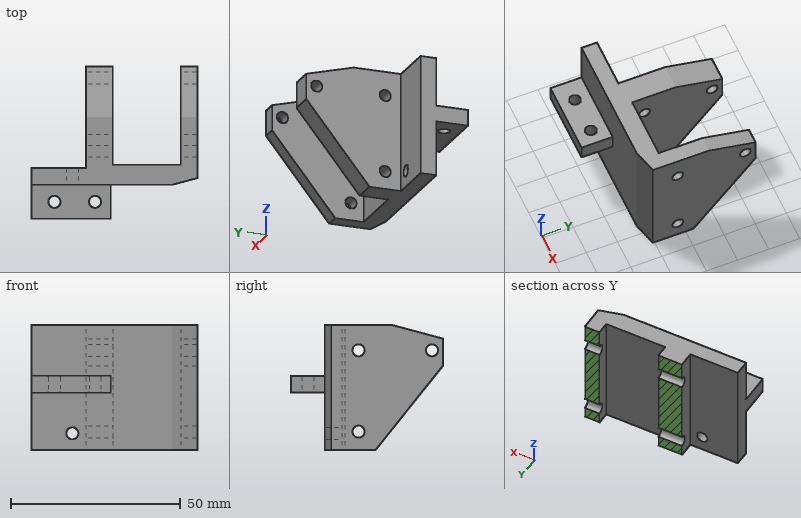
import cadquery as cq
import math

height = 37.0
plate_thickness = 5.0
web_thickness = 6.0

inner_arm_width = 8.0
outer_arm_width = 5.0
arm_gap = 20.0
inner_arm_x = 16.1
outer_arm_x = inner_arm_x + inner_arm_width + arm_gap
plate_width = outer_arm_x + outer_arm_width
arm_reach = 35.0
arm_bottom_reach = 15.0
arm_nose_bottom_z = 25.0
bevel_angle = math.radians(15)
arm_bevel_length = 15.0
arm_bevel_drop = arm_bevel_length * math.tan(bevel_angle)

edge_bevel_width = 7.5
edge_bevel_depth = edge_bevel_width * math.tan(bevel_angle)

tab_width = 23.5
tab_reach = 10.0
tab_thickness = 5.0
tab_bottom_z = 17.0

hole_diameter = 3.5
tab_hole_xs = (6.8, 18.8)
tab_hole_y = -tab_reach / 2
plate_hole_x = 12.1
plate_hole_z = 5.0
arm_hole_y = 10.0
upper_hole_z = 29.5
lower_hole_z = 5.5
nose_hole_y = 31.7
arm_holes = (
    (arm_hole_y, lower_hole_z),
    (arm_hole_y, upper_hole_z),
    (nose_hole_y, upper_hole_z),
)


def block(x, y, z, size_x, size_y, size_z):
    """Box placed by its lowest corner."""
    return cq.Workplane("XY").box(size_x, size_y, size_z, centered=False).translate((x, y, z))


def make_plate():
    """Front plate, thicker between the arms."""
    plate = block(0, 0, 0, plate_width, plate_thickness, height)
    web = block(inner_arm_x, 0, 0, plate_width - inner_arm_x, web_thickness, height)
    return plate.union(web)


def make_arm(x, width):
    """Arm with a bevelled top and an undercut running back to its nose."""
    outline = [
        (0, 0),
        (arm_bottom_reach, 0),
        (arm_reach, arm_nose_bottom_z),
        (arm_reach, height - arm_bevel_drop),
        (arm_reach - arm_bevel_length, height),
        (0, height),
    ]
    return cq.Workplane("YZ", origin=(x, 0, 0)).polyline(outline).close().extrude(width)


def make_tab():
    """Mounting tab with two vertical holes."""
    tab = block(0, -tab_reach, tab_bottom_z, tab_width, tab_reach, tab_thickness)
    holes = (
        cq.Workplane("XY", origin=(0, 0, tab_bottom_z))
        .pushPoints([(x, tab_hole_y) for x in tab_hole_xs])
        .circle(hole_diameter / 2)
        .extrude(tab_thickness)
    )
    return tab.cut(holes)


def make_edge_bevel():
    """Wedge removed from the front right vertical edge."""
    corners = [
        (plate_width - edge_bevel_width, 0),
        (plate_width, 0),
        (plate_width, edge_bevel_depth),
    ]
    return cq.Workplane("XY").polyline(corners).close().extrude(height)


def make_arm_holes():
    """Cross holes passing through both arms."""
    return (
        cq.Workplane("YZ")
        .pushPoints(arm_holes)
        .circle(hole_diameter / 2)
        .extrude(plate_width)
    )


def make_plate_hole():
    """Hole through the plate, beside the inner arm."""
    return (
        cq.Workplane("XZ", origin=(plate_hole_x, 0, plate_hole_z))
        .circle(hole_diameter / 2)
        .extrude(-plate_thickness)
    )


body = make_plate()
body = body.union(make_arm(inner_arm_x, inner_arm_width))
body = body.union(make_arm(outer_arm_x, outer_arm_width))
body = body.union(make_tab())
body = body.cut(make_edge_bevel())
body = body.cut(make_arm_holes())
result = body.cut(make_plate_hole())